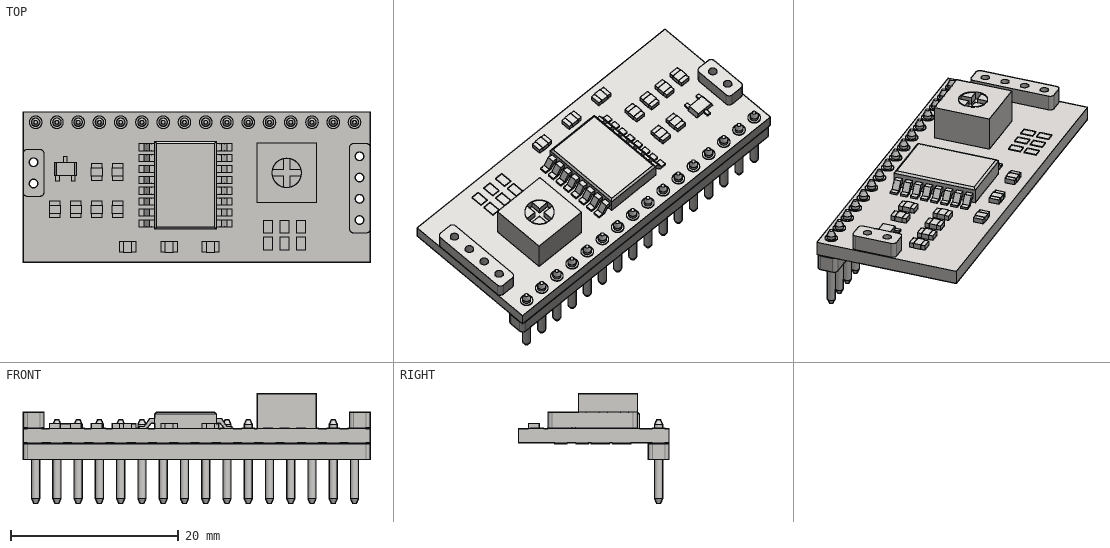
import cadquery as cq


BOARD_X = 41.5
BOARD_Y = 18.0
BOARD_T = 1.7
OVERALL_Z = 13.15

PITCH = 2.54
PAD_D = 1.5
PAD_T = 0.1
STRIP_W = 2.5
STRIP_TOP = 2.0
STRIP_FILLET = 0.5
SOCKET_HOLE_D = 1.0
SOCKET_END_MARGIN = 1.53

PIN_COUNT = 16
PIN_D = 1.0
PIN_TIP_D = 0.45
PIN_TIP_H = 0.6
PIN_TOP = 1.1
FIRST_PIN_X = 1.5
PIN_Y = BOARD_Y - STRIP_W / 2

LED_HOLES = 2
LED_X = STRIP_W / 2
LED_Y = BOARD_Y - 7.3
BUS_HOLES = 4
BUS_X = BOARD_X - 1.3
BUS_Y = BOARD_Y - 9.13

CHIP_L = 7.4
CHIP_W = 10.5
CHIP_TOP = 2.0
CHIP_CHAMFER = 0.25
CHIP_X = 19.42
CHIP_Y = BOARD_Y - 8.78
LEADS_PER_SIDE = 8
LEAD_PITCH = 1.3
LEAD_W = 0.85
LEAD_T = 0.6
LEAD_TOP = 1.25
LEAD_SHOULDER = 0.6
LEAD_UNDER_SHOULDER = 0.4
LEAD_SLOPE_RUN = 0.65
LEAD_FOOT_T = 0.25
LEAD_HEEL = 0.95
LEAD_REACH = 1.85

TRIMMER_SIDE = 7.1
TRIMMER_TOP = 4.2
TRIMMER_X = 31.5
TRIMMER_Y = BOARD_Y - 7.3
DIAL_D = 3.5
DIAL_RECESS = 0.1
SLOT_W = 0.78
SLOT_DEPTH = 1.0

SMD_L = 2.0
SMD_W = 1.25
SMD_H = 0.6
SMD_BODY_L = 0.95
SMD_BODY_PROUD = 0.04
SMD_PITCH = 2.5
SMD_FIRST_X = 3.8
SMD_COLUMNS = 4
SMD_FIRST_BACK_COLUMN = 2
SMD_BACK_Y = BOARD_Y - 7.2
SMD_MID_Y = BOARD_Y - 11.65
SMD_FRONT_Y = BOARD_Y - 16.15
SMD_FRONT_FIRST_X = 12.5
SMD_FRONT_PITCH = 4.95
SMD_FRONT_COUNT = 3

TRANSISTOR_L = 2.65
TRANSISTOR_TOP_L = 2.15
TRANSISTOR_W = 1.55
TRANSISTOR_H = 0.6
TRANSISTOR_X = 5.05
TRANSISTOR_Y = BOARD_Y - 6.82
LEG_W = 0.45
LEG_T = 0.25
LEG_REACH = 0.7
LEG_SPACING = 1.9

JUMPER_L = 1.05
JUMPER_W = 1.55
JUMPER_COLUMNS = 3
JUMPER_ROWS = 2
JUMPER_X = 31.25
JUMPER_Y = BOARD_Y - 14.75
JUMPER_PITCH_X = 1.97
JUMPER_PITCH_Y = 2.03


def block(length, width, x, y, bottom, top):
    """Upright box centred on (x, y) between two heights."""
    height = top - bottom
    return cq.Workplane("XY").box(length, width, height, (True, True, False)).translate((x, y, bottom))


def row(count, pitch):
    """Offsets of evenly spaced items about the middle of their row."""
    return [(i - (count - 1) / 2) * pitch for i in range(count)]


def double_pad(x, y):
    """Round pad on both faces of the board, joined through it."""
    bottom = -BOARD_T - PAD_T
    return cq.Workplane("XY", origin=(x, y, bottom)).circle(PAD_D / 2).extrude(BOARD_T + 2 * PAD_T)


def make_pin(x):
    """Round pin with a tapered tip at each end."""
    bottom = TRIMMER_TOP - OVERALL_Z
    radius = PIN_D / 2
    tip_radius = PIN_TIP_D / 2
    profile = [
        (0, bottom),
        (tip_radius, bottom),
        (radius, bottom + PIN_TIP_H),
        (radius, PIN_TOP - PIN_TIP_H),
        (tip_radius, PIN_TOP),
        (0, PIN_TOP),
    ]
    pin = cq.Workplane("XZ").polyline(profile).close().revolve(360, (0, 0, 0), (0, 1, 0))
    return pin.translate((x, PIN_Y, 0))


def make_header():
    """Pin header hanging below the back edge of the board."""
    body = block(BOARD_X, STRIP_W, BOARD_X / 2, BOARD_Y - STRIP_W / 2, -BOARD_T - STRIP_TOP, -BOARD_T - PAD_T)
    header = body.edges("|Z").fillet(STRIP_FILLET)
    for i in range(PIN_COUNT):
        x = FIRST_PIN_X + i * PITCH
        header = header.union(double_pad(x, PIN_Y)).union(make_pin(x))
    return header


def make_socket(holes, body_x, hole_x, y):
    """Socket strip standing on its pads."""
    length = (holes - 1) * PITCH + 2 * SOCKET_END_MARGIN
    socket = block(STRIP_W, length, body_x, y, PAD_T, STRIP_TOP).edges("|Z").fillet(STRIP_FILLET)
    for offset in row(holes, PITCH):
        socket = socket.union(double_pad(hole_x, y + offset))
    return socket


def drill_socket(part, holes, x, y):
    """Socket holes through the strip, the pads and the board."""
    depth = STRIP_TOP + BOARD_T + PAD_T
    points = [(x, y + offset) for offset in row(holes, PITCH)]
    drills = cq.Workplane("XY", origin=(0, 0, STRIP_TOP)).pushPoints(points)
    return part.cut(drills.circle(SOCKET_HOLE_D / 2).extrude(-depth))


def make_chip():
    """Chip body with a chamfered top and bent leads along both long sides."""
    chip = block(CHIP_L, CHIP_W, 0, 0, 0, CHIP_TOP).faces(">Z").chamfer(CHIP_CHAMFER)
    profile = [
        (0, LEAD_TOP),
        (LEAD_SHOULDER, LEAD_TOP),
        (LEAD_SHOULDER + LEAD_SLOPE_RUN, LEAD_FOOT_T),
        (LEAD_REACH, LEAD_FOOT_T),
        (LEAD_REACH, 0),
        (LEAD_HEEL, 0),
        (LEAD_UNDER_SHOULDER, LEAD_TOP - LEAD_T),
        (0, LEAD_TOP - LEAD_T),
    ]
    lead = cq.Workplane("XZ").polyline(profile).close().extrude(LEAD_W / 2, both=True)
    right_lead = lead.translate((CHIP_L / 2, 0, 0))
    left_lead = right_lead.mirror("YZ")
    for offset in row(LEADS_PER_SIDE, LEAD_PITCH):
        for side_lead in (right_lead, left_lead):
            chip = chip.union(side_lead.translate((0, offset, 0)))
    return chip.translate((CHIP_X, CHIP_Y, 0))


def make_trimmer():
    """Square trimmer whose dial is slightly sunk and has a cross slot."""
    body = block(TRIMMER_SIDE, TRIMMER_SIDE, 0, 0, 0, TRIMMER_TOP)
    slot_floor = TRIMMER_TOP - SLOT_DEPTH
    dial = cq.Workplane("XY", origin=(0, 0, slot_floor)).circle(DIAL_D / 2).extrude(SLOT_DEPTH)
    cross = block(DIAL_D, SLOT_W, 0, 0, slot_floor, TRIMMER_TOP)
    cross = cross.union(block(SLOT_W, DIAL_D, 0, 0, slot_floor, TRIMMER_TOP))
    recess = block(DIAL_D, DIAL_D, 0, 0, TRIMMER_TOP - DIAL_RECESS, TRIMMER_TOP)
    return body.cut(dial.intersect(cross.union(recess))).translate((TRIMMER_X, TRIMMER_Y, 0))


def make_smd(x, y, angle):
    """Two-terminal chip part; its long axis lies along X at angle 0."""
    caps = block(SMD_L, SMD_W, 0, 0, 0, SMD_H)
    body = block(SMD_BODY_L, SMD_W + 2 * SMD_BODY_PROUD, 0, 0, 0, SMD_H + SMD_BODY_PROUD)
    return caps.union(body).rotate((0, 0, 0), (0, 0, 1), angle).translate((x, y, 0))


def make_smd_parts():
    """Middle and back rows with parts along Y, and a front row with parts along X."""
    parts = []
    for column in range(SMD_COLUMNS):
        x = SMD_FIRST_X + column * SMD_PITCH
        parts.append(make_smd(x, SMD_MID_Y, 90))
        if column >= SMD_FIRST_BACK_COLUMN:
            parts.append(make_smd(x, SMD_BACK_Y, 90))
    for i in range(SMD_FRONT_COUNT):
        parts.append(make_smd(SMD_FRONT_FIRST_X + i * SMD_FRONT_PITCH, SMD_FRONT_Y, 0))
    return parts


def make_transistor():
    """Body with sloped ends, one leg at the back and two at the front."""
    base = TRANSISTOR_L / 2
    top = TRANSISTOR_TOP_L / 2
    profile = [(-base, 0), (base, 0), (top, TRANSISTOR_H), (-top, TRANSISTOR_H)]
    transistor = cq.Workplane("XZ").polyline(profile).close().extrude(TRANSISTOR_W / 2, both=True)
    leg_y = (TRANSISTOR_W + LEG_REACH) / 2
    for x, y in ((0, leg_y), (-LEG_SPACING / 2, -leg_y), (LEG_SPACING / 2, -leg_y)):
        transistor = transistor.union(block(LEG_W, LEG_REACH, x, y, 0, LEG_T))
    return transistor.translate((TRANSISTOR_X, TRANSISTOR_Y, 0))


def make_jumper_pads():
    """Grid of bare rectangular pads."""
    pads = []
    for dx in row(JUMPER_COLUMNS, JUMPER_PITCH_X):
        for dy in row(JUMPER_ROWS, JUMPER_PITCH_Y):
            pads.append(block(JUMPER_L, JUMPER_W, JUMPER_X + dx, JUMPER_Y + dy, 0, PAD_T))
    return pads


components = [
    make_header(),
    make_socket(LED_HOLES, STRIP_W / 2, LED_X, LED_Y),
    make_socket(BUS_HOLES, BOARD_X - STRIP_W / 2, BUS_X, BUS_Y),
    make_chip(),
    make_trimmer(),
    make_transistor(),
]
components += make_smd_parts()
components += make_jumper_pads()

result = block(BOARD_X, BOARD_Y, BOARD_X / 2, BOARD_Y / 2, -BOARD_T, 0)
for component in components:
    result = result.union(component)
result = drill_socket(result, LED_HOLES, LED_X, LED_Y)
result = drill_socket(result, BUS_HOLES, BUS_X, BUS_Y)